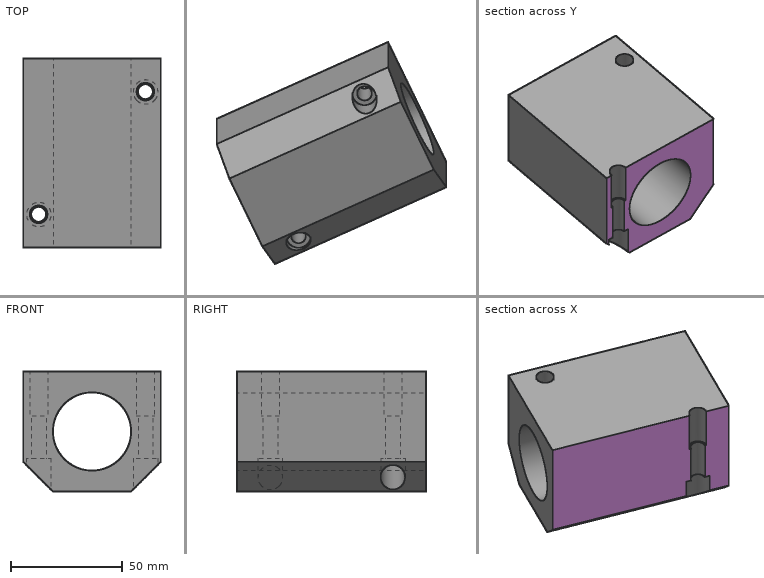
import cadquery as cq

width = 62.0
length = 85.0
height = 54.0
top_z = height / 2
bottom_z = -height / 2

bore_diameter = 35.0

corner_cut = (width - bore_diameter) / 2

screw_x = 24.0
screw_y = 27.5
clearance_diameter = 6.6
upper_diameter = 8.0
upper_depth = 20.0
head_diameter = 11.0
head_seat_height = 15.0


def block():
    """Rectangular block with both lower long edges cut at 45 degrees."""
    body = cq.Workplane("XY").box(width, length, height)
    return body.faces("<Z").edges("|Y").chamfer(corner_cut)


def main_bore():
    """Cylinder running the whole length of the block."""
    return cq.Workplane("XZ").circle(bore_diameter / 2).extrude(length / 2, both=True)


def vertical_cylinder(x, y, diameter, low_z, high_z):
    """Cylinder along Z between two heights."""
    base = cq.Workplane("XY", origin=(x, y, low_z))
    return base.circle(diameter / 2).extrude(high_z - low_z)


def screw_hole(x, y):
    """Through hole, wider at the top, with a head recess opening in the corner cut."""
    through = vertical_cylinder(x, y, clearance_diameter, bottom_z, top_z)
    upper = vertical_cylinder(x, y, upper_diameter, top_z - upper_depth, top_z)
    head = vertical_cylinder(x, y, head_diameter, bottom_z, bottom_z + head_seat_height)
    return through.union(upper).union(head)


result = block().cut(main_bore())
for side in (-1, 1):
    result = result.cut(screw_hole(side * screw_x, side * screw_y))